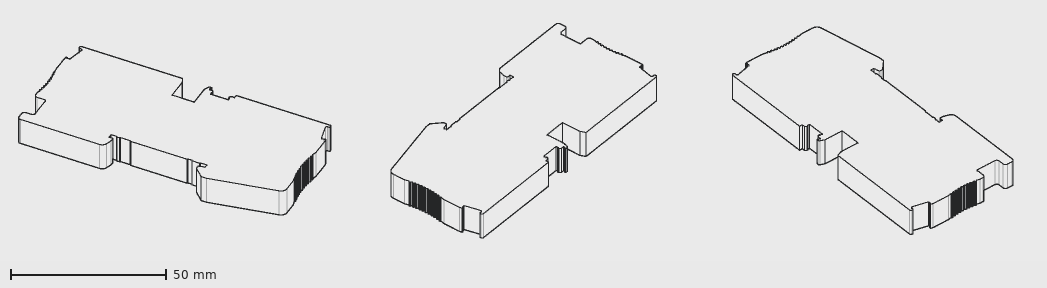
import cadquery as cq
import math

LENGTH = 94.0
HEIGHT = 42.2
THICKNESS = 10.0

HOOK_TIP_X = 1.75
HOOK_UNDERSIDE_Y = 41.05
HOOK_THROAT_X = 3.2
HOOK_THROAT_ROUND = 0.5
HOOK_TOP_ROUND = 0.5
HOOK_TIP_ROUND = 0.3
SHOULDER_FLOOR_X = 1.65
SHOULDER_FLOOR_Y = 34.8
LIP_WIDTH = 0.7
LIP_HEIGHT = 0.3
LIP_TAPER_WIDTH = 0.2
LIP_TAPER_HEIGHT = 0.85

RIB_BASE_WIDTH = 0.8
RIB_TIP_WIDTH = 0.4
RIB_HEIGHT = 0.34
RIB_ROOT_DEPTH = 0.2
RIB_PITCH = 1.235
LEFT_GRIP_RADIUS = 26.0
LEFT_GRIP_Y = 21.25
LEFT_GRIP_CHORD = 13.0
LEFT_RIB_COUNT = 9
RIGHT_GRIP_RADIUS = 30.0
RIGHT_GRIP_Y = 19.6
RIGHT_GRIP_CHORD = 16.3
RIGHT_RIB_COUNT = 11

CORNER_ROUND = 1.0
SLOT_ROOF_Y = 12.5
SLOT_DEPTH = 4.25
SLOT_ROOF_ROUND = 0.3
FOOT_LEFT_X = 0.3
FOOT_TOP_Y = 3.95
FOOT_RIGHT_X = 31.3
FOOT_ROUND = 2.0

RAIL_LEFT_X = 30.95
RAIL_RIGHT_X = 65.45
RAIL_ROOF_Y = 6.15
RAIL_PAD_HEIGHT = 0.25
LEFT_PAD_X = (32.9, 33.1, 34.0, 34.25)
MIDDLE_PAD_X = (37.7, 38.25, 58.4, 58.65)
RIGHT_PAD_X = (60.05, 60.3, 62.9, 63.15)
CLAW_ROUND = 0.3
LEFT_CLAW_TIP_X = 32.35
LEFT_CLAW_TOP_Y = 4.75
LEFT_CLAW_TIP_BOTTOM_Y = 3.4
RIGHT_CLAW_TIP_X = 63.2
RIGHT_CLAW_ROOT_Y = 4.95
RIGHT_CLAW_TOP_Y = 4.4
RIGHT_CLAW_TIP_BOTTOM_Y = 3.15
RIGHT_CLAW_BASE_X = 66.5

SLOPE_START_X = 68.4
SLOPE_RATIO = 0.2
SLOPE_ROUND = 2.2

TOP_SLOT_LEFT_X = 39.4
TOP_SLOT_RIGHT_X = 47.35
TOP_SLOT_FLOOR_Y = 33.1
MOUTH_BEVEL_WIDTH = 0.8
MOUTH_BEVEL_DEPTH = 1.9

GROOVE_CENTER_X = 53.4
GROOVE_FLOOR_Y = 39.1
GROOVE_HALF_WIDTH = 3.2
SNAP_HALF_GAP = 2.9
SNAP_BOTTOM_Y = 40.0
SNAP_TOP_Y = 40.5
LEDGE_Y = 41.05
LEDGE_INNER_HALF = 3.4
LEDGE_OUTER_HALF = 4.55
PEG_ROUND = 0.5
PEG_NUB_REACH = 0.3
PEG_NUB_HEIGHT = 0.5


def mirrored(corners):
    """Corners reflected to the right end, in the reverse order."""
    return [(LENGTH - x, y, r) for x, y, r in reversed(corners)]


def hooked_corner():
    """Upper left corner from the end wall up to the top edge."""
    lip_y = SHOULDER_FLOOR_Y + LIP_HEIGHT
    return [
        (0, lip_y - LIP_TAPER_HEIGHT, 0),
        (LIP_TAPER_WIDTH, lip_y, 0),
        (LIP_WIDTH, lip_y, 0),
        (LIP_WIDTH, SHOULDER_FLOOR_Y, 0),
        (SHOULDER_FLOOR_X, SHOULDER_FLOOR_Y, 0),
        (HOOK_THROAT_X, HOOK_UNDERSIDE_Y, HOOK_THROAT_ROUND),
        (HOOK_TIP_X, HOOK_UNDERSIDE_Y, HOOK_TIP_ROUND),
        (HOOK_TIP_X, HEIGHT, HOOK_TOP_ROUND),
    ]


def top_slot():
    """Rectangular slot, ending on top of the peg beside the marker groove."""
    bevel_y = HEIGHT - MOUTH_BEVEL_DEPTH
    return [
        (TOP_SLOT_LEFT_X - MOUTH_BEVEL_WIDTH, HEIGHT, 0),
        (TOP_SLOT_LEFT_X, bevel_y, 0),
        (TOP_SLOT_LEFT_X, TOP_SLOT_FLOOR_Y, 0),
        (TOP_SLOT_RIGHT_X, TOP_SLOT_FLOOR_Y, 0),
        (TOP_SLOT_RIGHT_X, bevel_y, 0),
        (TOP_SLOT_RIGHT_X + MOUTH_BEVEL_WIDTH, HEIGHT, PEG_ROUND),
    ]


def marker_groove():
    """Stepped groove with an undercut on each side of its floor."""
    half_steps = [
        (LEDGE_OUTER_HALF, LEDGE_Y),
        (LEDGE_INNER_HALF, LEDGE_Y),
        (SNAP_HALF_GAP, SNAP_TOP_Y),
        (SNAP_HALF_GAP, SNAP_BOTTOM_Y),
        (GROOVE_HALF_WIDTH, SNAP_BOTTOM_Y),
        (GROOVE_HALF_WIDTH, GROOVE_FLOOR_Y),
    ]
    peg_x = GROOVE_CENTER_X - LEDGE_OUTER_HALF
    nub_y = HEIGHT - PEG_NUB_HEIGHT
    peg_nub = [
        (peg_x + PEG_NUB_REACH, HEIGHT, 0),
        (peg_x + PEG_NUB_REACH, nub_y, 0),
        (peg_x, nub_y, 0),
    ]
    left = [(GROOVE_CENTER_X - dx, y, 0) for dx, y in half_steps]
    right = [(GROOVE_CENTER_X + dx, y, 0) for dx, y in reversed(half_steps)]
    return peg_nub + left + right + [(GROOVE_CENTER_X + LEDGE_OUTER_HALF, HEIGHT, 0)]


def sloping_underside():
    """Lower right corner and the slope down to the right claw."""
    slope_end_y = SLOPE_RATIO * (LENGTH - SLOPE_START_X)
    return [
        (LENGTH, slope_end_y, SLOPE_ROUND),
        (SLOPE_START_X, 0, 0),
    ]


def rail_recess():
    """Recess between the two claws, with three shallow ramped pads on its roof."""
    pad_y = RAIL_ROOF_Y - RAIL_PAD_HEIGHT
    right_claw = [
        (RIGHT_CLAW_BASE_X, 0, 0),
        (RIGHT_CLAW_TIP_X, RIGHT_CLAW_TIP_BOTTOM_Y, CLAW_ROUND),
        (RIGHT_CLAW_TIP_X, RIGHT_CLAW_TOP_Y, CLAW_ROUND),
        (RAIL_RIGHT_X, RIGHT_CLAW_ROOT_Y, 0),
        (RAIL_RIGHT_X, RAIL_ROOF_Y, 0),
    ]
    pads = []
    for left_roof_x, left_flat_x, right_flat_x, right_roof_x in (RIGHT_PAD_X, MIDDLE_PAD_X, LEFT_PAD_X):
        pads += [
            (right_roof_x, RAIL_ROOF_Y, 0),
            (right_flat_x, pad_y, 0),
            (left_flat_x, pad_y, 0),
            (left_roof_x, RAIL_ROOF_Y, 0),
        ]
    left_claw = [
        (RAIL_LEFT_X, RAIL_ROOF_Y, 0),
        (RAIL_LEFT_X, LEFT_CLAW_TOP_Y, 0),
        (LEFT_CLAW_TIP_X, LEFT_CLAW_TOP_Y, CLAW_ROUND),
        (LEFT_CLAW_TIP_X, LEFT_CLAW_TIP_BOTTOM_Y, 0),
    ]
    return right_claw + pads + left_claw


def foot_and_slot():
    """Foot at the lower left and the slot above it."""
    return [
        (FOOT_RIGHT_X, 0, FOOT_ROUND),
        (FOOT_LEFT_X, 0, CORNER_ROUND),
        (FOOT_LEFT_X, FOOT_TOP_Y, CORNER_ROUND),
        (SLOT_DEPTH, FOOT_TOP_Y, CORNER_ROUND),
        (SLOT_DEPTH, SLOT_ROOF_Y, SLOT_ROOF_ROUND),
        (0, SLOT_ROOF_Y, CORNER_ROUND),
    ]


def corner_arc(before, corner, after):
    """Start, middle and end of the arc that rounds a corner."""
    x, y, radius = corner
    to_before = cq.Vector(before[0] - x, before[1] - y).normalized()
    to_after = cq.Vector(after[0] - x, after[1] - y).normalized()
    half_angle = to_before.getAngle(to_after) / 2
    vertex = cq.Vector(x, y)
    setback = radius / math.tan(half_angle)
    middle_distance = radius / math.sin(half_angle) - radius
    bisector = (to_before + to_after).normalized()
    return (
        vertex + to_before * setback,
        vertex + bisector * middle_distance,
        vertex + to_after * setback,
    )


def extruded_outline(corners):
    """Solid from a closed list of (x, y, corner radius); the first corner is sharp."""
    sketch = cq.Workplane("XY").moveTo(*corners[0][:2])
    for before, corner, after in zip(corners, corners[1:], corners[2:] + corners[:1]):
        if corner[2] == 0:
            sketch = sketch.lineTo(*corner[:2])
        else:
            start, middle, end = corner_arc(before, corner, after)
            sketch = sketch.lineTo(start.x, start.y)
            sketch = sketch.threePointArc((middle.x, middle.y), (end.x, end.y))
    return sketch.close().extrude(THICKNESS)


def grip_rib(arc_x, y, outward):
    """Tapered rib standing outward from the grip arc at (arc_x, y)."""
    root_x = arc_x - outward * RIB_ROOT_DEPTH
    tip_x = arc_x + outward * RIB_HEIGHT
    base_half = RIB_BASE_WIDTH / 2
    tip_half = RIB_TIP_WIDTH / 2
    profile = [
        (root_x, y - base_half),
        (arc_x, y - base_half),
        (tip_x, y - tip_half),
        (tip_x, y + tip_half),
        (arc_x, y + base_half),
        (root_x, y + base_half),
    ]
    return cq.Workplane("XY").polyline(profile).close().extrude(THICKNESS)


def add_grip(body, wall_x, outward, radius, center_y, chord, rib_count):
    """Hollow an end wall with a shallow arc and set ribs along it."""
    axis_x = wall_x + outward * math.sqrt(radius**2 - (chord / 2) ** 2)
    hollow = cq.Workplane("XY").center(axis_x, center_y).circle(radius).extrude(THICKNESS)
    body = body.cut(hollow)
    for index in range(rib_count):
        offset = (index - (rib_count - 1) / 2) * RIB_PITCH
        arc_x = axis_x - outward * math.sqrt(radius**2 - offset**2)
        body = body.union(grip_rib(arc_x, center_y + offset, outward))
    return body


outline = (
    hooked_corner()
    + top_slot()
    + marker_groove()
    + mirrored(hooked_corner())
    + sloping_underside()
    + rail_recess()
    + foot_and_slot()
)
housing = extruded_outline(outline)
housing = add_grip(housing, 0, -1, LEFT_GRIP_RADIUS, LEFT_GRIP_Y, LEFT_GRIP_CHORD, LEFT_RIB_COUNT)
result = add_grip(housing, LENGTH, 1, RIGHT_GRIP_RADIUS, RIGHT_GRIP_Y, RIGHT_GRIP_CHORD, RIGHT_RIB_COUNT)